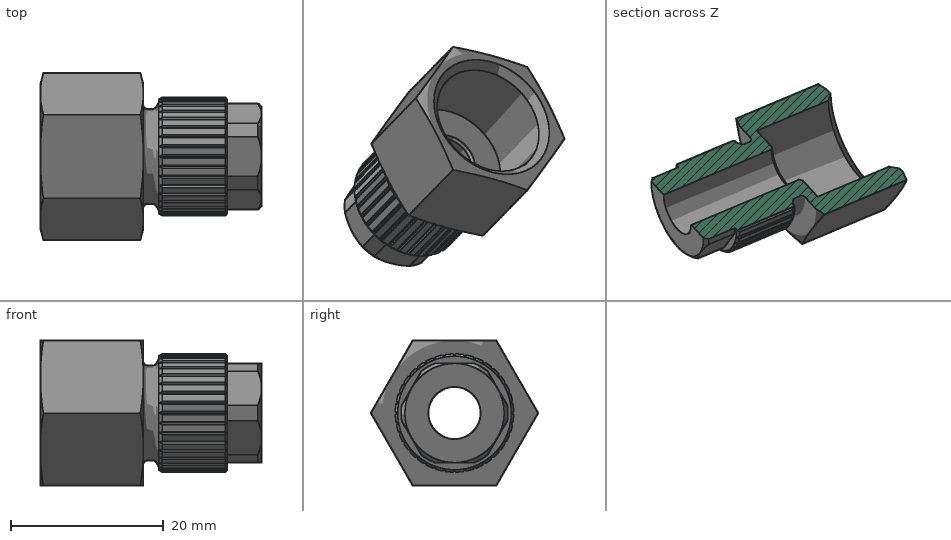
import cadquery as cq
import math

NUT_LENGTH = 13.5
NECK_START = 14.0
NECK_END = 14.75
COLLAR_START = 15.5
COLLAR_END = 24.5
TOTAL_LENGTH = 29.0

NUT_ACROSS_FLATS = 19.0
NUT_CHAMFER_ANGLE = 15.0

NECK_RADIUS = 6.25
NECK_FILLET = NECK_START - NUT_LENGTH
COLLAR_CONE_SLOPE = 60.0

COLLAR_RADIUS = 7.75
COLLAR_CHAMFER = 0.3
COLLAR_NECK_CHAMFER_LENGTH = 0.5
GROOVE_COUNT = 36
GROOVE_DEPTH = 0.22
GROOVE_HALF_WIDTH = 0.22
GROOVE_OVERSIZE = 2

END_ACROSS_FLATS = 13.0
END_CORNER_RADIUS = 7.0
END_CHAMFER_LENGTH = 0.5
END_CHAMFER_DEPTH = 0.5

MOUTH_RADIUS = 8.5
BORE_RADIUS = 7.5
BORE_DEPTH = 12.0
HOLE_RADIUS = 3.4
HOLE_MOUTH_RADIUS = 3.75


def revolve_about_x(profile):
    """Turn a closed (x, radius) outline about the X axis."""
    return profile.close().revolve(360, (0, 0, 0), (1, 0, 0))


def hexagon_corner_radius(across_flats):
    """Distance from the centre of a regular hexagon to its corners."""
    return across_flats / 2 / math.cos(math.pi / 6)


def hexagonal_bar(across_flats, start, length):
    """Hexagonal bar along X with flats facing +Z and -Z."""
    across_corners = 2 * hexagon_corner_radius(across_flats)
    return cq.Workplane("YZ", origin=(start, 0, 0)).polygon(6, across_corners).extrude(length)


def make_nut():
    flat_radius = NUT_ACROSS_FLATS / 2
    corner_radius = hexagon_corner_radius(NUT_ACROSS_FLATS)
    chamfer_length = (corner_radius - flat_radius) * math.tan(math.radians(NUT_CHAMFER_ANGLE))
    envelope = revolve_about_x(
        cq.Workplane("XY")
        .lineTo(0, flat_radius)
        .lineTo(chamfer_length, corner_radius)
        .lineTo(NUT_LENGTH - chamfer_length, corner_radius)
        .lineTo(NUT_LENGTH, flat_radius)
        .lineTo(NUT_LENGTH, 0)
    )
    return hexagonal_bar(NUT_ACROSS_FLATS, 0, NUT_LENGTH).intersect(envelope)


def fillet_point(start, direction, angle):
    """Point (x, radius) on a neck fillet starting at x = start, where it has risen to this slope.

    The fillet runs toward +X for direction 1 and toward -X for direction -1.
    """
    return (
        start + direction * NECK_FILLET * math.sin(angle),
        NECK_RADIUS + NECK_FILLET * (1 - math.cos(angle)),
    )


def make_neck_and_collar():
    cone_slope = math.radians(COLLAR_CONE_SLOPE)
    cone_foot = fillet_point(NECK_END, 1, cone_slope)
    cone_top_radius = cone_foot[1] + (COLLAR_START - cone_foot[0]) * math.tan(cone_slope)
    return revolve_about_x(
        cq.Workplane("XY")
        .moveTo(NUT_LENGTH, 0)
        .lineTo(NUT_LENGTH, NECK_RADIUS + NECK_FILLET)
        .threePointArc(fillet_point(NECK_START, -1, math.pi / 4), (NECK_START, NECK_RADIUS))
        .lineTo(NECK_END, NECK_RADIUS)
        .threePointArc(fillet_point(NECK_END, 1, cone_slope / 2), cone_foot)
        .lineTo(COLLAR_START, cone_top_radius)
        .lineTo(COLLAR_START, COLLAR_RADIUS - COLLAR_CHAMFER)
        .lineTo(COLLAR_START + COLLAR_NECK_CHAMFER_LENGTH, COLLAR_RADIUS)
        .lineTo(COLLAR_END - COLLAR_CHAMFER, COLLAR_RADIUS)
        .lineTo(COLLAR_END, COLLAR_RADIUS - COLLAR_CHAMFER)
        .lineTo(COLLAR_END, 0)
    )


def make_knurl_grooves():
    """V-shaped cutters, evenly spaced around the collar."""
    depth = GROOVE_DEPTH * GROOVE_OVERSIZE
    half_width = GROOVE_HALF_WIDTH * GROOVE_OVERSIZE
    root_radius = COLLAR_RADIUS - GROOVE_DEPTH
    groove = (
        cq.Workplane("YZ", origin=(COLLAR_START, 0, 0))
        .moveTo(0, root_radius)
        .lineTo(half_width, root_radius + depth)
        .lineTo(-half_width, root_radius + depth)
        .close()
        .extrude(COLLAR_END - COLLAR_START)
    )
    grooves = cq.Workplane("XY")
    for index in range(GROOVE_COUNT):
        grooves = grooves.add(groove.rotate((0, 0, 0), (1, 0, 0), index * 360 / GROOVE_COUNT))
    return grooves.combine()


def make_end_hexagon():
    envelope = revolve_about_x(
        cq.Workplane("XY")
        .moveTo(COLLAR_END, 0)
        .lineTo(COLLAR_END, END_CORNER_RADIUS)
        .lineTo(TOTAL_LENGTH - END_CHAMFER_LENGTH, END_CORNER_RADIUS)
        .lineTo(TOTAL_LENGTH, END_CORNER_RADIUS - END_CHAMFER_DEPTH)
        .lineTo(TOTAL_LENGTH, 0)
    )
    return hexagonal_bar(END_ACROSS_FLATS, COLLAR_END, TOTAL_LENGTH - COLLAR_END).intersect(envelope)


def make_bore():
    mouth_cone_end = MOUTH_RADIUS - BORE_RADIUS
    hole_chamfer_end = BORE_DEPTH + HOLE_MOUTH_RADIUS - HOLE_RADIUS
    return revolve_about_x(
        cq.Workplane("XY")
        .lineTo(0, MOUTH_RADIUS)
        .lineTo(mouth_cone_end, BORE_RADIUS)
        .lineTo(BORE_DEPTH, BORE_RADIUS)
        .lineTo(BORE_DEPTH, HOLE_MOUTH_RADIUS)
        .lineTo(hole_chamfer_end, HOLE_RADIUS)
        .lineTo(TOTAL_LENGTH, HOLE_RADIUS)
        .lineTo(TOTAL_LENGTH, 0)
    )


collar = make_neck_and_collar().cut(make_knurl_grooves())
result = make_nut().union(collar).union(make_end_hexagon()).cut(make_bore())